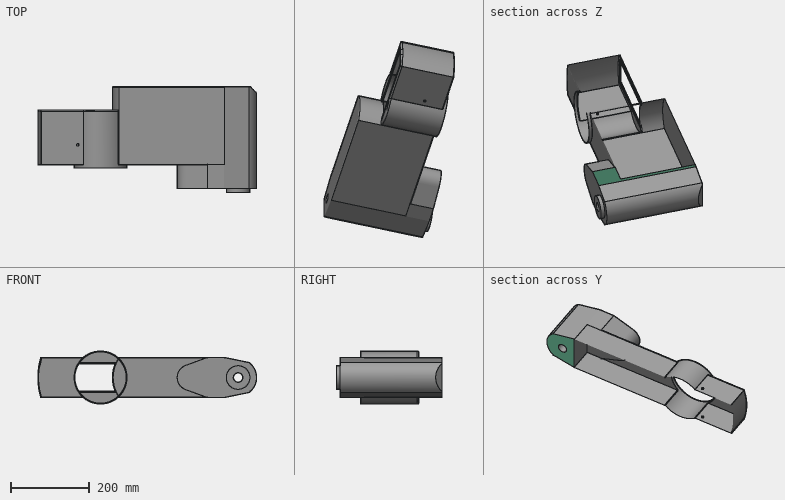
import cadquery as cq
import math

wall = 2.0
edge_round = 3.0
half_height = 51.5

tube_radius = 67.5
tube_depth = 148.5
bore_radius = tube_radius - wall
cap_front = tube_depth - 2 * wall

arm_front = 8.0
left_end = -160.0
left_end_bulge = 8.0
main_left_end = 30.0
main_left_bulge = 15.5
main_rear = 208.0

hub_x = 350.0
hub_radius = 47.5
hub_corner_z = 38.5
hub_corner_x = hub_x + math.sqrt(hub_radius**2 - hub_corner_z**2)
right_end = hub_x + hub_radius
taper_start = 315.0
rear_bevel = 17.0

boss_front = -52.0
boss_nose_x = 195.0
boss_nose_radius = 33.0
boss_slope = math.radians(20)

disc_front = -62.0
disc_radius = 30.0
pivot_hole_radius = 11.5

window_half = 34.5
window_right = 36.0
window_ledge = 3.5
window_left = left_end + (half_height - window_half)

pin_x = -58.0
pin_y = 59.5
pin_radius = 3.0


def plane_at(y):
    """XZ sketch plane at depth y."""
    return cq.Workplane("XZ", origin=(0, y, 0))


def extrude_to(sketch, y_start, y_end):
    """Extrude a sketch drawn at y_start back to y_end."""
    return sketch.extrude(y_start - y_end)


def cylinder(x, radius, y_start, y_end):
    return extrude_to(plane_at(y_start).center(x, 0).circle(radius), y_start, y_end)


def bulged_bar(left, right, bulge, inset, y_start, y_end):
    """Bar with a flat right end and a left end bulging outward; inset shrinks all but the right."""
    half = half_height - inset
    radius = (half_height**2 + bulge**2) / (2 * bulge)
    inner_radius = radius - inset
    corner_x = left + radius - math.sqrt(inner_radius**2 - half**2)
    sketch = (
        plane_at(y_start)
        .moveTo(right, half)
        .lineTo(corner_x, half)
        .threePointArc((left + inset, 0), (corner_x, -half))
        .lineTo(right, -half)
        .close()
    )
    return extrude_to(sketch, y_start, y_end)


def tapered_end(sketch):
    """Continue an outline from the lower taper start round the hub to the upper taper start."""
    return (
        sketch
        .lineTo(taper_start, -half_height)
        .lineTo(hub_corner_x, -hub_corner_z)
        .threePointArc((right_end, 0), (hub_corner_x, hub_corner_z))
        .lineTo(taper_start, half_height)
    )


def main_arm():
    corner_x = main_left_end + main_left_bulge
    sketch = plane_at(arm_front).moveTo(corner_x, half_height)
    sketch = sketch.threePointArc((main_left_end, 0), (corner_x, -half_height))
    sketch = tapered_end(sketch).close()
    arm = extrude_to(sketch, arm_front, main_rear)
    arm = arm.faces("<X").edges("|Y").fillet(edge_round)
    arm = arm.faces("<Y or >Y").edges().fillet(edge_round)
    bevel = (
        cq.Workplane("XY", origin=(0, 0, -half_height))
        .moveTo(right_end - rear_bevel, main_rear)
        .lineTo(right_end, main_rear)
        .lineTo(right_end, main_rear - rear_bevel)
        .close()
        .extrude(2 * half_height)
    )
    return arm.cut(bevel)


def boss():
    nose_center = boss_nose_x + boss_nose_radius
    tangent_x = nose_center - boss_nose_radius * math.sin(boss_slope)
    tangent_z = boss_nose_radius * math.cos(boss_slope)
    shoulder_x = tangent_x + (half_height - tangent_z) / math.tan(boss_slope)
    sketch = (
        plane_at(boss_front)
        .moveTo(shoulder_x, half_height)
        .lineTo(tangent_x, tangent_z)
        .threePointArc((boss_nose_x, 0), (tangent_x, -tangent_z))
        .lineTo(shoulder_x, -half_height)
    )
    sketch = tapered_end(sketch).close()
    return extrude_to(sketch, boss_front, arm_front + edge_round)


def window(margin, y_start, y_end):
    """Rectangular opening in the cap, widened on every side by margin."""
    width = window_right - window_left + 2 * margin
    height = 2 * (window_half + margin)
    sketch = plane_at(y_start).center((window_left + window_right) / 2, 0).rect(width, height)
    return extrude_to(sketch, y_start, y_end)


tube = cylinder(0, tube_radius, 0, tube_depth).faces(">Y").edges().fillet(edge_round)
left_arm = bulged_bar(left_end, 0, left_end_bulge, 0, arm_front, tube_depth)
left_arm = left_arm.faces("<Y or >Y").edges().fillet(edge_round)
bore = cylinder(0, bore_radius, 0, cap_front)
left_cavity = bulged_bar(left_end, 0, left_end_bulge, wall, arm_front + wall, cap_front)
pin_hole = (
    cq.Workplane("XY", origin=(pin_x, pin_y, -half_height))
    .circle(pin_radius)
    .extrude(2 * half_height)
)
left_body = (
    tube.union(left_arm)
    .cut(bore)
    .cut(left_cavity)
    .cut(window(window_ledge, cap_front, tube_depth - wall))
    .cut(window(0, tube_depth - wall, tube_depth))
    .cut(pin_hole)
)

main_cavity = bulged_bar(
    main_left_end, taper_start, main_left_bulge, wall, arm_front + wall, main_rear - wall
)
disc = cylinder(hub_x, disc_radius, disc_front, boss_front)
pivot_hole = cylinder(hub_x, pivot_hole_radius, disc_front, main_rear)

result = (
    left_body.union(main_arm().cut(bore))
    .union(boss())
    .union(disc)
    .cut(main_cavity)
    .cut(pivot_hole)
)